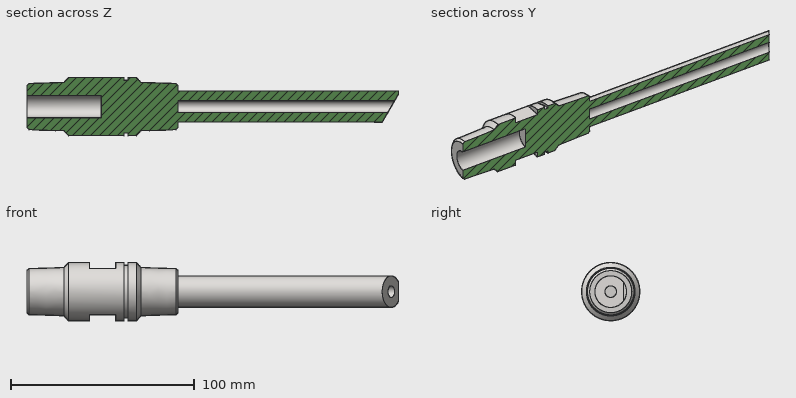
import cadquery as cq
import math

length = 202.3
collar_diameter = 31.8

thread_large_diameter = 26.5
thread_taper = 1 / 16
thread_length = 20.2
end_chamfer = 1.2

body_length = 82.3
shoulder_length = 2.5
groove_start = 53.0
groove_width = 2.0
groove_diameter = 29.0

flat_start = 34.2
flat_length = 14.2
across_flats = 25.3

tube_diameter = 17.2
tip_angle = 60.0
tip_land = 1.6

inlet_diameter = 12.0
inlet_depth = 40.5
tube_bore_diameter = 6.3


def x_cylinder(diameter, start, end):
    return cq.Workplane("YZ").workplane(offset=start).circle(diameter / 2).extrude(end - start)


def make_body():
    """Turned body: a grooved collar between two tapered ends."""
    collar_radius = collar_diameter / 2
    groove_radius = groove_diameter / 2
    large_radius = thread_large_diameter / 2
    taper_run = thread_length - end_chamfer
    small_radius = large_radius - taper_run * thread_taper / 2
    face_radius = small_radius - end_chamfer
    right_root = body_length - thread_length
    groove_end = groove_start + groove_width
    profile = [
        (0, 0),
        (0, face_radius),
        (end_chamfer, small_radius),
        (thread_length, large_radius),
        (thread_length + shoulder_length, collar_radius),
        (groove_start, collar_radius),
        (groove_start, groove_radius),
        (groove_end, groove_radius),
        (groove_end, collar_radius),
        (right_root - shoulder_length, collar_radius),
        (right_root, large_radius),
        (body_length - end_chamfer, small_radius),
        (body_length, face_radius),
        (body_length, 0),
    ]
    return cq.Workplane("XY").polyline(profile).close().revolve(360, (0, 0, 0), (1, 0, 0))


def cut_wrench_flats(body):
    """Two opposite flats, facing +Z and -Z."""
    for side in (1, -1):
        cutter = (
            cq.Workplane("XY")
            .workplane(offset=side * across_flats / 2)
            .center(flat_start + flat_length / 2, 0)
            .rect(flat_length, collar_diameter)
            .extrude(side * collar_diameter)
        )
        body = body.cut(cutter)
    return body


def make_tip_cutter():
    """Wedge that leaves the tube longest on its +Y side."""
    radius = tube_diameter / 2
    tip_setback = (tube_diameter - tip_land) / math.tan(math.radians(tip_angle))
    return (
        cq.Workplane("XY")
        .polyline([(length, radius - tip_land), (length - tip_setback, -radius), (length, -radius)])
        .close()
        .extrude(tube_diameter, both=True)
    )


def make_tube():
    tube = x_cylinder(tube_diameter, body_length, length)
    tube = tube.cut(x_cylinder(tube_bore_diameter, body_length, length))
    return tube.cut(make_tip_cutter())


body = cut_wrench_flats(make_body())
body = body.cut(x_cylinder(inlet_diameter, 0, inlet_depth))
result = body.union(make_tube())